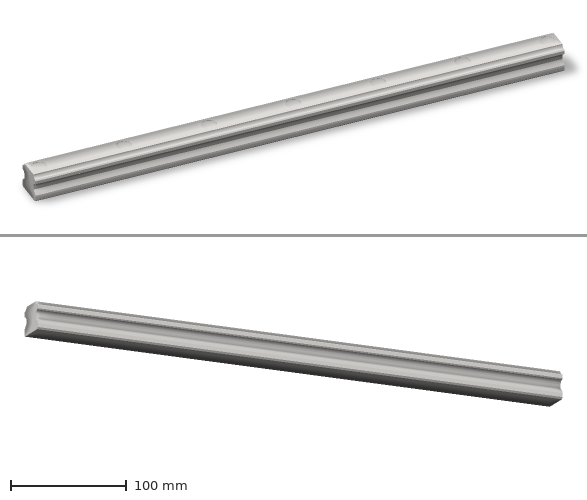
import cadquery as cq
import math

length = 500.0
width = 28.0
height = 26.0
half_width = width / 2

base_chamfer = 1.5
base_bevel_start = 5.0
base_bevel_end = 6.5
base_bevel_inset = 0.25
shoulder_top = 10.5

neck_half_width = half_width - 4.25
neck_top = 14.0

groove_inner_half_width = neck_half_width + 0.25
groove_inner_height = 15.5
groove_outer_half_width = 13.0
groove_outer_height = 17.5
lower_groove_bulge = 0.6

flank_bottom = 18.5
flank_top = 21.5

upper_groove_radius = 3.5
top_half_width = 9.5

hole_count = 7
hole_pitch = 80.0
hole_diameter = 14.0
plug_recess = 0.25


def rail_body():
    """Extrude the profile, which is symmetric about the YZ plane."""
    upper_groove_outer = top_half_width + upper_groove_radius
    upper_groove_bottom = height - upper_groove_radius
    groove_middle = upper_groove_radius * math.sqrt(0.5)
    half_profile = (
        cq.Workplane("XZ")
        .lineTo(half_width - base_chamfer, 0)
        .lineTo(half_width, base_chamfer)
        .lineTo(half_width, base_bevel_start)
        .lineTo(half_width - base_bevel_inset, base_bevel_end)
        .lineTo(neck_half_width, shoulder_top)
        .lineTo(neck_half_width, neck_top)
        .lineTo(groove_inner_half_width, groove_inner_height)
        .sagittaArc((groove_outer_half_width, groove_outer_height), lower_groove_bulge)
        .lineTo(half_width, flank_bottom)
        .lineTo(half_width, flank_top)
        .lineTo(upper_groove_outer, upper_groove_bottom)
        .threePointArc(
            (upper_groove_outer - groove_middle, height - groove_middle),
            (top_half_width, height),
        )
        .lineTo(0, height)
    )
    return half_profile.mirrorY().extrude(length / 2, both=True)


def plug_recesses():
    """Row of shallow round recesses over the plugs, centred along the rail."""
    return (
        cq.Workplane("XY")
        .workplane(offset=height - plug_recess)
        .rarray(5, hole_pitch, 1, hole_count)
        .circle(hole_diameter / 2)
        .extrude(plug_recess)
    )


result = rail_body().cut(plug_recesses())